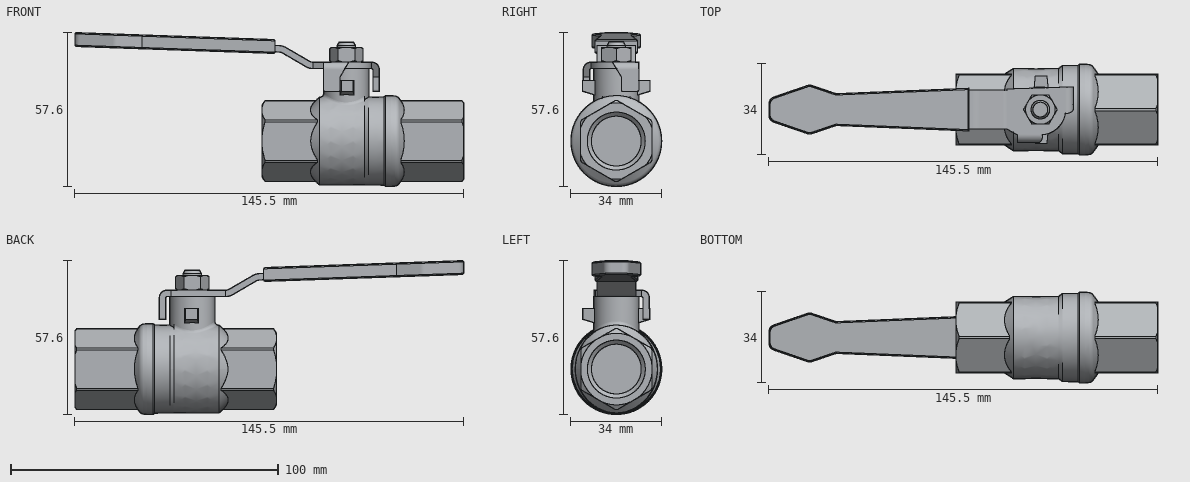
import cadquery as cq
import math


OVERLAP = 1.5

BODY_LEFT = -31.5
BODY_RIGHT = 44.0
HEX_ACROSS_FLATS = 26.6
HEX_CORNER_RADIUS = 15.1
LEFT_END_RADIUS = 13.4
LEFT_CHAMFER_LENGTH = 1.2
RIGHT_END_RADIUS = 14.3
RIGHT_CHAMFER_LENGTH = 0.7
SHOULDER_RADIUS = 13.1
SHOULDER_LEFT = -13.7
BARREL_LEFT = -10.0
BARREL_RIGHT = 6.8
BARREL_HALF_WIDTH = 15.4
BARREL_HALF_HEIGHT = 16.5
COLLAR_START = 8.3
COLLAR_END = 14.1
COLLAR_START_RADIUS = 33.0 / 2
COLLAR_END_RADIUS = 16.6
FLANGE_RADIUS = 34.0 / 2
FLANGE_START = 14.7
FLANGE_END = 16.9
RIM_END = 18.3
RIM_END_RADIUS = 16.9
ROUND_MIDDLE = (19.0, 16.6)
ROUND_END = (20.0, 15.7)
CONE_END = 21.8
BORE_DIAMETER = 18.6
BORE_DEPTH = 16.0
BORE_MOUTH_DIAMETER = 21.7
BORE_MOUTH_DEPTH = (BORE_MOUTH_DIAMETER - BORE_DIAMETER) / 2

NECK_DIAMETER = 17.0
NECK_FILLET = 1.3
LUG_CENTER_X = 0.3
LUG_ROOT_Y = 6.5
LUG_TIP_Y = 12.7
LUG_ROOT_WIDTH = 5.5
LUG_TIP_WIDTH = 4.4
LUG_TOP = 22.7
LUG_ROOT_BOTTOM = 16.7
LUG_TIP_BOTTOM = 18.6

PLATE_BOTTOM = 27.0
PLATE_THICKNESS = 2.5
PLATE_TOP = PLATE_BOTTOM + PLATE_THICKNESS
PLATE_LEFT = -12.5
PLATE_BACK = 7.7
PLATE_BACK_RIGHT = 8.5
ARM_HALF_WIDTH = 7.3
TAB_REACH = 12.4
TAB_BOTTOM = 18.5
TAB_BEND_RADIUS = 2.9
PLATE_RADIUS = TAB_REACH - TAB_BEND_RADIUS
TAB_NECK_Z = 24.0
TAB_CORNER_RADIUS = 0.7
FRONT_TAB_LEFT = -8.6
FRONT_TAB_RIGHT = -2.3
FRONT_TAB_TOP_RIGHT = 0.9
SIDE_TAB_FRONT = 1.9
SIDE_TAB_TOP_FRONT = -1.5
LOWER_KNEE = (-13.5, PLATE_BOTTOM + PLATE_THICKNESS / 2)
UPPER_KNEE = (-24.1, 34.5)
KNEE_INNER_RADIUS = 2.9
KNEE_OUTER_RADIUS = KNEE_INNER_RADIUS + PLATE_THICKNESS

GRIP_LEFT = -101.5
GRIP_RIGHT = -26.6
GRIP_HEIGHT = 5.2
GRIP_LEFT_TOP = 40.6
GRIP_RIGHT_TOP = 38.0
GRIP_END_HALF_WIDTH = 4.1
GRIP_CORNER_RADIUS = 2.9
GRIP_WIDEST_X = -86.3
GRIP_WIDEST_HALF_WIDTH = 9.3
GRIP_WAIST_X = -76.4
GRIP_WAIST_HALF_WIDTH = 6.0
GRIP_RIGHT_HALF_WIDTH = 8.0
GRIP_CHAMFER = 0.51

NUT_ACROSS_FLATS = 10.9
NUT_TOP = 35.0
NUT_CHAMFER_RADIUS = 5.5
NUT_CHAMFER_HEIGHT = 0.6
STEM_DIAMETER = 7.0
STEM_TOP = 37.0
STEM_CHAMFER = 0.7
STEM_CHAMFER_HEIGHT = 1.3


def revolve_about_x(points):
    """Solid of revolution about X from (x, radius) points, closed along the axis."""
    profile = [(points[0][0], 0)] + points + [(points[-1][0], 0)]
    return cq.Workplane("XY").polyline(profile).close().revolve(360, (0, 0, 0), (1, 0, 0))


def hex_ends():
    """Hexagonal bar with vertical flats on +/-Y, trimmed round at its corners and ends."""
    corner_diameter = HEX_ACROSS_FLATS / math.cos(math.radians(30))
    bar = (
        cq.Workplane("YZ", origin=(BODY_LEFT, 0, 0))
        .polygon(6, corner_diameter)
        .extrude(BODY_RIGHT - BODY_LEFT)
        .rotate((0, 0, 0), (1, 0, 0), 30)
    )
    envelope = revolve_about_x([
        (BODY_LEFT, LEFT_END_RADIUS),
        (BODY_LEFT + LEFT_CHAMFER_LENGTH, HEX_CORNER_RADIUS),
        (BODY_RIGHT - RIGHT_CHAMFER_LENGTH, HEX_CORNER_RADIUS),
        (BODY_RIGHT, RIGHT_END_RADIUS),
    ])
    return bar.intersect(envelope)


def barrel():
    """Slightly oval centre section that blends to round at both ends."""
    def section(x, half_width, half_height):
        return cq.Workplane("YZ", origin=(x, 0, 0)).ellipse(half_width, half_height)

    def blend(x_start, start, x_end, end):
        first = section(x_start, *start)
        return first.workplane(offset=x_end - x_start).ellipse(*end).loft(ruled=True)

    oval = (BARREL_HALF_WIDTH, BARREL_HALF_HEIGHT)
    shoulder = (SHOULDER_RADIUS, SHOULDER_RADIUS)
    collar = (COLLAR_START_RADIUS, COLLAR_START_RADIUS)
    middle = section(BARREL_LEFT, *oval).extrude(BARREL_RIGHT - BARREL_LEFT)
    left = blend(SHOULDER_LEFT, shoulder, BARREL_LEFT, oval)
    right = blend(BARREL_RIGHT, oval, COLLAR_START, collar)
    return middle, left, right


def collar_and_flange():
    return (
        cq.Workplane("XY")
        .moveTo(COLLAR_START, 0)
        .lineTo(COLLAR_START, COLLAR_START_RADIUS)
        .lineTo(COLLAR_END, COLLAR_END_RADIUS)
        .lineTo(FLANGE_START, FLANGE_RADIUS)
        .lineTo(FLANGE_END, FLANGE_RADIUS)
        .lineTo(RIM_END, RIM_END_RADIUS)
        .threePointArc(ROUND_MIDDLE, ROUND_END)
        .lineTo(CONE_END, SHOULDER_RADIUS)
        .lineTo(CONE_END, 0)
        .close()
        .revolve(360, (0, 0, 0), (1, 0, 0))
    )


def bore(end_x, inward):
    """Blind bore with a countersunk mouth, cut from one end along the inward direction."""
    return revolve_about_x([
        (end_x, BORE_MOUTH_DIAMETER / 2),
        (end_x + inward * BORE_MOUTH_DEPTH, BORE_DIAMETER / 2),
        (end_x + inward * BORE_DEPTH, BORE_DIAMETER / 2),
    ])


def lug(side):
    """Stop lug tapering outwards from the neck; side is +1 for +Y and -1 for -Y."""
    def rectangle(y, width, bottom):
        center = (LUG_CENTER_X, side * y, (bottom + LUG_TOP) / 2)
        plane = cq.Workplane("XZ", origin=center)
        return plane.rect(width, LUG_TOP - bottom).wires().val()

    root = rectangle(LUG_ROOT_Y, LUG_ROOT_WIDTH, LUG_ROOT_BOTTOM)
    tip = rectangle(LUG_TIP_Y, LUG_TIP_WIDTH, LUG_TIP_BOTTOM)
    return cq.Workplane(cq.Solid.makeLoft([root, tip], True))


def valve_body():
    middle, left, right = barrel()
    neck = cq.Workplane("XY").circle(NECK_DIAMETER / 2).extrude(PLATE_BOTTOM)
    body = middle.union(neck)
    reach = NECK_DIAMETER / 2 + OVERLAP
    around_neck = cq.selectors.BoxSelector(
        (-reach, -reach, BARREL_HALF_HEIGHT / 2),
        (reach, reach, BARREL_HALF_HEIGHT + OVERLAP),
    )
    body = body.edges(around_neck).edges("not(#X)").fillet(NECK_FILLET)
    for section in (left, right, collar_and_flange(), hex_ends(), lug(1), lug(-1)):
        body = body.union(section)
    return body.cut(bore(BODY_LEFT, 1)).cut(bore(BODY_RIGHT, -1))


def tab(outline):
    """Tab bent down at the -Y side, with the given outline in X and Z."""
    inner_radius = TAB_BEND_RADIUS - PLATE_THICKNESS
    bend_y = -PLATE_RADIUS
    bend_z = PLATE_TOP - TAB_BEND_RADIUS
    strip = (
        cq.Workplane("YZ")
        .moveTo(bend_y + OVERLAP, PLATE_TOP)
        .lineTo(bend_y, PLATE_TOP)
        .radiusArc((-TAB_REACH, bend_z), -TAB_BEND_RADIUS)
        .lineTo(-TAB_REACH, TAB_BOTTOM)
        .lineTo(PLATE_THICKNESS - TAB_REACH, TAB_BOTTOM)
        .lineTo(PLATE_THICKNESS - TAB_REACH, bend_z)
        .radiusArc((bend_y, PLATE_BOTTOM), inner_radius)
        .lineTo(bend_y + OVERLAP, PLATE_BOTTOM)
        .close()
        .extrude(TAB_REACH, both=True)
    )
    blank = strip.intersect(cq.Workplane("XZ").polyline(outline).close().extrude(2 * TAB_REACH))
    return blank.faces("<Z").edges("|Y").fillet(TAB_CORNER_RADIUS)


def lever_plate():
    """Flat plate under the nut, rounded about the stem, with tabs bent down at -Y and +X."""
    arc_middle = PLATE_RADIUS * math.sqrt(0.5)
    plate = (
        cq.Workplane("XY", origin=(0, 0, PLATE_BOTTOM))
        .moveTo(PLATE_LEFT, PLATE_BACK)
        .lineTo(PLATE_RADIUS, PLATE_BACK_RIGHT)
        .lineTo(PLATE_RADIUS, 0)
        .threePointArc((arc_middle, -arc_middle), (0, -PLATE_RADIUS))
        .lineTo(FRONT_TAB_LEFT, -PLATE_RADIUS)
        .lineTo(PLATE_LEFT, -ARM_HALF_WIDTH)
        .close()
        .extrude(PLATE_THICKNESS)
    )
    front_tab = tab([
        (FRONT_TAB_LEFT, TAB_BOTTOM),
        (FRONT_TAB_RIGHT, TAB_BOTTOM),
        (FRONT_TAB_RIGHT, TAB_NECK_Z),
        (FRONT_TAB_TOP_RIGHT, PLATE_TOP),
        (FRONT_TAB_LEFT, PLATE_TOP),
    ])
    side_tab = tab([
        (PLATE_BACK_RIGHT, TAB_BOTTOM),
        (SIDE_TAB_FRONT, TAB_BOTTOM),
        (SIDE_TAB_FRONT, TAB_NECK_Z),
        (SIDE_TAB_TOP_FRONT, PLATE_TOP),
        (PLATE_BACK_RIGHT, PLATE_TOP),
    ]).rotate((0, 0, 0), (0, 0, 1), 90)
    return plate.union(front_tab).union(side_tab)


def lever_arm():
    """Cranked strip that climbs from the plate into the grip."""
    def edge(side):
        half = side * PLATE_THICKNESS / 2
        climb = math.atan2(UPPER_KNEE[1] - LOWER_KNEE[1], LOWER_KNEE[0] - UPPER_KNEE[0])
        shift = half * math.tan(climb / 2)
        grip_fall = (GRIP_LEFT_TOP - GRIP_RIGHT_TOP) / (GRIP_RIGHT - GRIP_LEFT)
        inner_x = GRIP_RIGHT - PLATE_THICKNESS
        inner_z = UPPER_KNEE[1] + (UPPER_KNEE[0] - inner_x) * grip_fall
        return [
            (PLATE_LEFT + OVERLAP, LOWER_KNEE[1] + half),
            (LOWER_KNEE[0] + shift, LOWER_KNEE[1] + half),
            (UPPER_KNEE[0] + shift, UPPER_KNEE[1] + half),
            (inner_x, inner_z + half),
        ]

    top = edge(1)
    bottom = edge(-1)
    outline = top + bottom[::-1]
    strip = cq.Workplane("XZ").polyline(outline).close().extrude(ARM_HALF_WIDTH, both=True)

    def round_knee(body, corner, radius):
        nearest = cq.selectors.NearestToPointSelector((corner[0], 0, corner[1]))
        return body.edges("|Y").edges(nearest).fillet(radius)

    strip = round_knee(strip, top[1], KNEE_INNER_RADIUS)
    strip = round_knee(strip, bottom[1], KNEE_OUTER_RADIUS)
    strip = round_knee(strip, top[2], KNEE_OUTER_RADIUS)
    return round_knee(strip, bottom[2], KNEE_INNER_RADIUS)


def grip():
    """Grip shaped in plan, cut to its sloping side profile and chamfered along its rims."""
    upper = [
        (GRIP_LEFT, GRIP_END_HALF_WIDTH),
        (GRIP_WIDEST_X, GRIP_WIDEST_HALF_WIDTH),
        (GRIP_WAIST_X, GRIP_WAIST_HALF_WIDTH),
        (GRIP_RIGHT, GRIP_RIGHT_HALF_WIDTH),
    ]
    lower = [(x, -y) for x, y in reversed(upper)]
    plan = cq.Workplane("XY").polyline(upper + lower).close().extrude(GRIP_LEFT_TOP)
    rounded_zone = cq.selectors.BoxSelector(
        (GRIP_LEFT - OVERLAP, -GRIP_WIDEST_HALF_WIDTH - OVERLAP, 0),
        (GRIP_WIDEST_X + OVERLAP, GRIP_WIDEST_HALF_WIDTH + OVERLAP, GRIP_LEFT_TOP),
    )
    plan = plan.edges("|Z").edges(rounded_zone).fillet(GRIP_CORNER_RADIUS)
    profile = [
        (GRIP_LEFT, GRIP_LEFT_TOP),
        (GRIP_RIGHT, GRIP_RIGHT_TOP),
        (GRIP_RIGHT, GRIP_RIGHT_TOP - GRIP_HEIGHT),
        (GRIP_LEFT, GRIP_LEFT_TOP - GRIP_HEIGHT),
    ]
    slab = cq.Workplane("XZ").polyline(profile).close().extrude(GRIP_WIDEST_HALF_WIDTH, both=True)
    body = plan.intersect(slab)
    return body.faces(">Z or <Z").edges().chamfer(GRIP_CHAMFER)


def nut_and_stem():
    corner_radius = NUT_ACROSS_FLATS / 2 / math.cos(math.radians(30))
    nut = (
        cq.Workplane("XY", origin=(0, 0, PLATE_TOP))
        .polygon(6, 2 * corner_radius)
        .extrude(NUT_TOP - PLATE_TOP)
    )
    envelope = (
        cq.Workplane("XZ")
        .polyline([
            (0, PLATE_TOP),
            (NUT_CHAMFER_RADIUS, PLATE_TOP),
            (corner_radius, PLATE_TOP + NUT_CHAMFER_HEIGHT),
            (corner_radius, NUT_TOP - NUT_CHAMFER_HEIGHT),
            (NUT_CHAMFER_RADIUS, NUT_TOP),
            (0, NUT_TOP),
        ])
        .close()
        .revolve(360, (0, 0, 0), (0, 1, 0))
    )
    stem = (
        cq.Workplane("XY", origin=(0, 0, PLATE_BOTTOM))
        .circle(STEM_DIAMETER / 2)
        .extrude(STEM_TOP - PLATE_BOTTOM)
        .faces(">Z")
        .chamfer(STEM_CHAMFER_HEIGHT, STEM_CHAMFER)
    )
    return nut.intersect(envelope).union(stem)


result = valve_body().union(lever_plate()).union(lever_arm()).union(grip()).union(nut_and_stem())